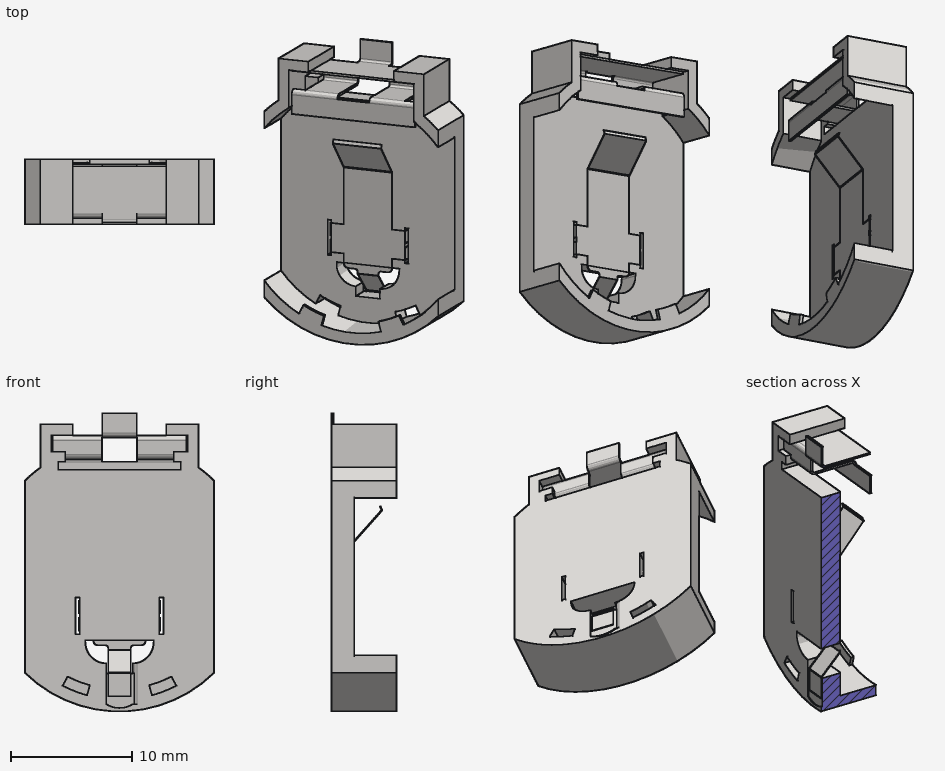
import cadquery as cq
import math


width = 15.6
depth = 5.4
tower_top = 23.7
tower_half_width = 6.52
outer_radius = 11.12
coin_z = outer_radius
pocket_radius = 10.15
floor_depth = 1.9

mouth_half_width = 3.85
seat_top = 22.8
ledge_z = 21.44
seat_half_width = 5.6
neck_half_width = 4.45
window_half_width = 5.07
window_top = 20.62
window_bottom = 19.93
seat_back_bottom = 19.45

hook_inner_radius = 9.28
hook_start_angle = 15.3
hook_end_angle = 27.5
hook_thickness = 0.3
hook_root = 0.25

passage_top = 5.88
passage_half_width = 2.8
passage_corner_radius = 1.72
passage_bottom = 3.99
tail_slot_half_width = 1.08
tail_slot_bottom = 3.15
tail_recess_side_z = 0.62
tail_recess_bottom = 0.3
tail_edge_radius = 0.35

flange_slot_inner = 3.3
flange_slot_outer = 3.62
flange_slot_bottom = 6.4
flange_slot_top = 9.4

terminal_sheet = 0.2
bend_inner = 0.2
bend_outer = bend_inner + terminal_sheet
terminal_half_width = 5.51
tab_half_width = 1.43
tab_top = 24.6
plate_end_y = 4.8
lip_y = 0.5
lip_bottom = 21.21
leg_back_y = 4.95
leg_bottom = 18.95

contact_sheet = 0.062
plate_front_y = floor_depth - contact_sheet
tail_half_width = 0.94
tail_bottom = 1.25
tail_bend_z = 3.25
plate_bend_z = 5.1
spring_half_width = 2.17
spring_plate_bottom = 5.46
spring_corner_radius = 0.4
tail_root_radius = 0.25
spring_bend_z = 14.03
spring_overlap = 0.25
spring_peak_y = 4.13
spring_peak_z = 16.6
spring_tip_y = 4.0
spring_tip_z = 16.9
wing_bottom = 6.67
wing_top = 9.15
flange_height = 1.05
flange_front_y = 0.75


def box(x_range, y_range, z_range):
    """Box given by its two limits along each axis."""
    size = [high - low for low, high in (x_range, y_range, z_range)]
    corner = (x_range[0], y_range[0], z_range[0])
    return cq.Workplane("XY").box(*size, centered=False).translate(corner)


def centred_box(half_width, y_range, z_range):
    """Box that is symmetric about X = 0."""
    return box((-half_width, half_width), y_range, z_range)


def front_plane(y):
    """Sketch plane at a given Y; sketch axes are X and Z, extrusion goes towards the back."""
    return cq.Workplane("XZ", origin=(0, y, 0))


def circle_height(radius, x):
    """Half chord height of a circle at distance x from its centre."""
    return math.sqrt(radius ** 2 - x ** 2)


def housing_block():
    half = width / 2
    side_reach = circle_height(outer_radius, half)
    shoulder_z = coin_z + circle_height(outer_radius, tower_half_width)
    outline = (
        front_plane(0)
        .moveTo(-tower_half_width, tower_top)
        .lineTo(-tower_half_width, shoulder_z)
        .radiusArc((-half, coin_z + side_reach), -outer_radius)
        .lineTo(-half, coin_z - side_reach)
        .threePointArc((0, 0), (half, coin_z - side_reach))
        .lineTo(half, coin_z + side_reach)
        .radiusArc((tower_half_width, shoulder_z), -outer_radius)
        .lineTo(tower_half_width, tower_top)
        .close()
    )
    return outline.extrude(-depth)


def coin_pocket():
    pocket = front_plane(floor_depth).center(0, coin_z).circle(pocket_radius)
    return pocket.extrude(floor_depth - depth)


def terminal_seat():
    mouth = centred_box(mouth_half_width, (0, depth), (seat_top, tower_top))
    upper = centred_box(seat_half_width, (0, depth), (ledge_z, seat_top))
    neck = centred_box(neck_half_width, (0, floor_depth), (window_top, ledge_z))
    window = centred_box(window_half_width, (0, floor_depth), (window_bottom, window_top))
    back = centred_box(seat_half_width, (floor_depth, depth), (seat_back_bottom, ledge_z))
    return mouth.union(upper).union(neck).union(window).union(back)


def ring_sector(inner, outer, side, y_range):
    """Piece of a ring about the coin axis, beside the lowest point (side is -1 or +1)."""
    def point(radius, angle):
        turn = math.radians(angle)
        return (side * radius * math.sin(turn), coin_z - radius * math.cos(turn))

    middle_angle = (hook_start_angle + hook_end_angle) / 2
    outline = (
        front_plane(y_range[0])
        .moveTo(*point(inner, hook_start_angle))
        .threePointArc(point(inner, middle_angle), point(inner, hook_end_angle))
        .lineTo(*point(outer, hook_end_angle))
        .threePointArc(point(outer, middle_angle), point(outer, hook_start_angle))
        .close()
    )
    return outline.extrude(y_range[0] - y_range[1])


def tail_passage():
    """Through opening with two large lower corners, narrowing into the tail slot."""
    block = centred_box(passage_half_width, (0, floor_depth), (passage_bottom, passage_top))
    opening = block.edges("|Y and <Z").fillet(passage_corner_radius)
    slot = centred_box(tail_slot_half_width, (0, floor_depth), (tail_slot_bottom, passage_top))
    return opening.union(slot)


def tail_recess():
    """Shallow recess with a curved lower end that holds the tail flush with the front face."""
    half = tail_slot_half_width
    outline = (
        front_plane(0)
        .moveTo(-half, passage_bottom)
        .lineTo(-half, tail_recess_side_z)
        .threePointArc((0, tail_recess_bottom), (half, tail_recess_side_z))
        .lineTo(half, passage_bottom)
        .close()
    )
    return outline.extrude(-contact_sheet)


def tail_edge_rounding():
    """Material removed to round the front edge on the +X side of the tail slot."""
    start = tail_slot_half_width
    end = start + tail_edge_radius
    z_range = (tail_recess_side_z, passage_bottom)
    corner = box((start, end), (0, tail_edge_radius), z_range)
    rounding = (
        cq.Workplane("XY", origin=(end, tail_edge_radius, z_range[0]))
        .circle(tail_edge_radius)
        .extrude(z_range[1] - z_range[0])
    )
    below_recess = box((start, end), (contact_sheet, tail_edge_radius), (z_range[0], tail_slot_bottom))
    return corner.cut(rounding).cut(below_recess)


def make_housing():
    body = housing_block().cut(coin_pocket()).cut(terminal_seat())
    body = body.cut(tail_passage()).cut(tail_recess()).cut(tail_edge_rounding())
    for side in (-1, 1):
        opening = ring_sector(hook_inner_radius, pocket_radius, side, (0, floor_depth))
        hook_span = (depth - hook_thickness, depth)
        hook = ring_sector(hook_inner_radius, pocket_radius + hook_root, side, hook_span)
        slot_x = sorted((side * flange_slot_inner, side * flange_slot_outer))
        flange_slot = box(slot_x, (0, floor_depth), (flange_slot_bottom, flange_slot_top))
        body = body.cut(opening).cut(flange_slot).union(hook)
    return body


def terminal_strip():
    """Sheet folded into a C: top plate, front lip, return leaf and back leg."""
    plate_under = seat_top - terminal_sheet
    lip_inner_y = lip_y + terminal_sheet
    bend_y = lip_y + bend_outer
    upper_bend_z = seat_top - bend_outer
    leaf_under = lip_bottom - bend_outer
    leaf_top = leaf_under + terminal_sheet
    leg_front_y = leg_back_y - terminal_sheet
    leg_bend_y = leg_back_y - bend_outer
    leg_bend_z = leaf_under - bend_inner
    profile = (
        cq.Workplane("YZ", origin=(-terminal_half_width, 0, 0))
        .moveTo(plate_end_y, seat_top)
        .lineTo(bend_y, seat_top)
        .radiusArc((lip_y, upper_bend_z), -bend_outer)
        .lineTo(lip_y, lip_bottom)
        .radiusArc((bend_y, leaf_under), -bend_outer)
        .lineTo(leg_bend_y, leaf_under)
        .radiusArc((leg_front_y, leg_bend_z), bend_inner)
        .lineTo(leg_front_y, leg_bottom)
        .lineTo(leg_back_y, leg_bottom)
        .lineTo(leg_back_y, leg_bend_z)
        .radiusArc((leg_bend_y, leaf_top), -bend_outer)
        .lineTo(bend_y, leaf_top)
        .radiusArc((lip_inner_y, lip_bottom), bend_inner)
        .lineTo(lip_inner_y, upper_bend_z)
        .radiusArc((bend_y, plate_under), bend_inner)
        .lineTo(plate_end_y, plate_under)
        .close()
    )
    strip = profile.extrude(2 * terminal_half_width)
    tab_cutout = centred_box(tab_half_width, (0, depth), (leg_bend_z, plate_under))
    strip = strip.cut(tab_cutout)
    for side in (-1, 1):
        margin_x = sorted((side * neck_half_width, side * seat_half_width))
        strip = strip.cut(box(margin_x, (0, leg_bend_y), (leg_bend_z, ledge_z)))
    return strip


def terminal_tab():
    """Solder tab continuing the top plate and bent upwards at the front face."""
    plate_under = seat_top - terminal_sheet
    root_y = lip_y + bend_outer
    bend_z = seat_top + bend_inner
    profile = (
        cq.Workplane("YZ", origin=(-tab_half_width, 0, 0))
        .moveTo(root_y, plate_under)
        .lineTo(bend_outer, plate_under)
        .radiusArc((0, bend_z), bend_outer)
        .lineTo(0, tab_top)
        .lineTo(terminal_sheet, tab_top)
        .lineTo(terminal_sheet, bend_z)
        .radiusArc((bend_outer, seat_top), -bend_inner)
        .lineTo(root_y, seat_top)
        .close()
    )
    return profile.extrude(2 * tab_half_width)


def make_terminal():
    return terminal_strip().union(terminal_tab())


def mitred_offset(points, distance):
    """Shift a polyline sideways to its right by a distance, with mitred corners."""
    directions = []
    for start, end in zip(points, points[1:]):
        directions.append(math.atan2(end[1] - start[1], end[0] - start[0]))
    before = [directions[0]] + directions
    after = directions + [directions[-1]]
    shifted = []
    for (y, z), first, second in zip(points, before, after):
        middle = (first + second) / 2
        reach = distance / math.cos((second - first) / 2)
        shifted.append((y + reach * math.sin(middle), z - reach * math.cos(middle)))
    return shifted


def bent_sheet(path, half_width):
    """Sheet of contact thickness whose front side follows a (Y, Z) path."""
    outline = path + mitred_offset(path, contact_sheet)[::-1]
    sheet = cq.Workplane("YZ", origin=(-half_width, 0, 0)).polyline(outline).close()
    return sheet.extrude(2 * half_width)


def contact_tail():
    return bent_sheet(
        [
            (0, tail_bottom),
            (0, tail_bend_z),
            (plate_front_y, plate_bend_z),
            (plate_front_y, spring_plate_bottom + spring_corner_radius),
        ],
        tail_half_width,
    )


def contact_plate():
    """Flat part let into the pocket floor: a long strip with rounded lower corners and two wings."""
    plate_y = (plate_front_y, floor_depth)
    strip = centred_box(spring_half_width, plate_y, (spring_plate_bottom, spring_bend_z - spring_overlap))
    strip = strip.edges("|Y and <Z").fillet(spring_corner_radius)
    wings = centred_box(flange_slot_inner, plate_y, (wing_bottom, wing_top))
    return strip.union(wings)


def tail_root_corner(side):
    """Concave fillet between one tail edge and the lower edge of the plate."""
    radius = tail_root_radius
    edge_x = side * tail_half_width
    centre = (edge_x + side * radius, spring_plate_bottom - radius)
    x_range = sorted((edge_x, centre[0]))
    corner = box(x_range, (plate_front_y, floor_depth), (centre[1], spring_plate_bottom))
    rounding = front_plane(0).center(*centre).circle(radius).extrude(-floor_depth)
    return corner.cut(rounding)


def contact_spring():
    return bent_sheet(
        [
            (plate_front_y, spring_bend_z - spring_overlap),
            (plate_front_y, spring_bend_z),
            (spring_peak_y, spring_peak_z),
            (spring_tip_y, spring_tip_z),
        ],
        spring_half_width,
    )


def contact_flange(side, bottom):
    """Tab at the wing edge, bent forwards into the housing slot."""
    x_range = sorted((side * flange_slot_inner, side * (flange_slot_inner + contact_sheet)))
    return box(x_range, (flange_front_y, floor_depth), (bottom, bottom + flange_height))


def make_contact():
    contact = contact_plate().union(contact_tail()).union(contact_spring())
    for side in (-1, 1):
        contact = contact.union(tail_root_corner(side))
        for bottom in (wing_bottom, wing_top - flange_height):
            contact = contact.union(contact_flange(side, bottom))
    return contact


terminal = make_terminal()
contact = make_contact()
housing = make_housing().cut(contact)

bodies = [body.solids().val() for body in (housing, terminal, contact)]
result = cq.Compound.makeCompound(bodies)